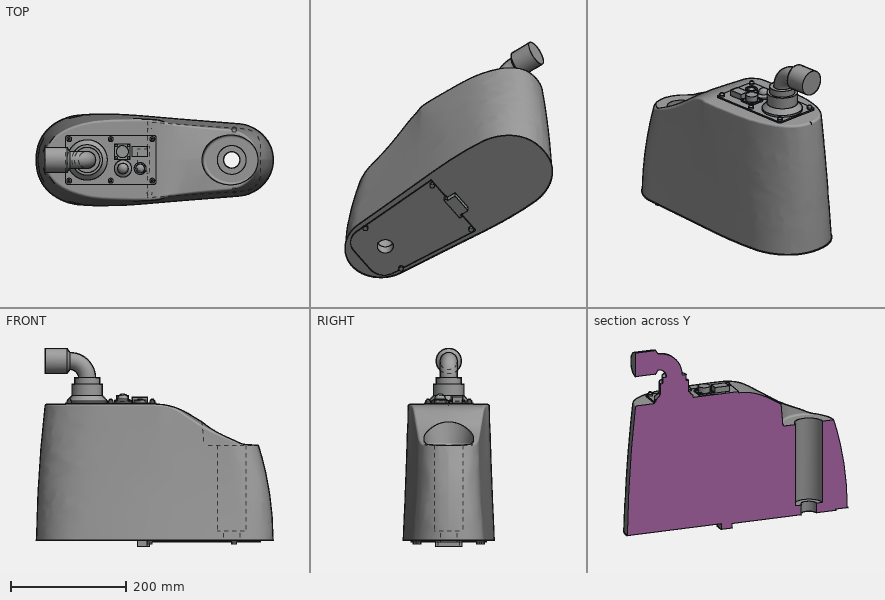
import cadquery as cq
import math


BODY_HEIGHT = 235.2
LIP_RADIUS = 4.0
CAP_STEPS = 6
FLANK_SPAN = 5
SHELL_LEVELS = {
    0.0: (-338.8, -245.0, 78.7, 2.2, 5.0, 63.0, 71.8, 2.3),
    165.0: (-330.6, -210.0, 72.3, 2.25, -13.0, 54.0, 46.0, 2.5),
    BODY_HEIGHT: (-323.5, -185.0, 70.0, 2.35, -50.0, 57.0, 18.0, 2.5),
}

DECK_END_X = -130.5
SADDLE_EDGE = [(-104.0, 231.0), (-74.4, 213.6), (-27.8, 185.9), (9.4, 169.8)]
SADDLE_END = (60.0, 164.6)
SADDLE_CROWN = [0.6, 5.0, 4.0, 1.0]
SADDLE_EDGE_RISE = -1.4
SADDLE_HALF_WIDTH = 85.0
CUT_MARGIN = 90.0

RECESS_FLOOR_Z = 163.8
RECESS_HALF_X = 48.0
RECESS_HALF_Y = 42.3
RECESS_DRAFT = 5.0
RECESS_FILLET = 3.7
BORE_RADIUS = 14.0
COUNTERBORE_RADIUS = 25.0
COUNTERBORE_FLOOR_Z = 15.0

FLANGE_LENGTH = 412.0
FLANGE_NOSE_X = -339.5
FLANGE_OUTLINE = (FLANGE_NOSE_X, -246.0, 79.3, 2.2, 5.0, 63.6, FLANGE_NOSE_X + FLANGE_LENGTH, 2.3)
FLANGE_THICKNESS = 1.4
BOTTOM_PLATE_REAR_X = -146.0
BOTTOM_PLATE_FRONT_X = 50.0
BOTTOM_PLATE_REAR_HALF = 65.5
BOTTOM_PLATE_FRONT_HALF = 52.0
BOTTOM_PLATE_THICKNESS = 2.2
BOTTOM_PLATE_CORNER = 30.0
BOTTOM_PLATE_Z = -FLANGE_THICKNESS - BOTTOM_PLATE_THICKNESS
SOCKET_REAR_X = -163.5
SOCKET_STEP_X = -147.3
SOCKET_FRONT_X = -142.6
SOCKET_HALF_Y = 19.0
SOCKET_RIM_HALF_Y = 23.3
SOCKET_BOTTOM_Z = -11.8
BOLT_RADIUS = 4.3
BOLT_BOTTOM_Z = -7.7
BOLT_PLACES = [(-142.4, 57.3), (4.3, 52.7)]

PANEL_REAR_X = -288.0
PANEL_FRONT_X = -131.2
PANEL_HALF_Y = 42.2
PANEL_CORNER = 3.5
PANEL_TOP_Z = 237.6
SCREW_FIRST_X = -281.8
SCREW_PITCH = 72.0
SCREW_COUNT = 3
SCREW_HALF_Y = 36.0
SCREW_RADIUS = 4.3
SCREW_COLLAR_HEIGHT = 2.9
SCREW_TIP_RADIUS = 1.7
SCREW_HEIGHT = 6.2

GLAND_X = -250.7
GLAND_FOOT_RADIUS = 35.0
GLAND_FOOT_Z = 241.0
GLAND_BODY_RADIUS = 26.5
GLAND_CONE_Z = 249.9
GLAND_BODY_Z = 269.9
GLAND_NECK_RADIUS = 22.0
GLAND_NECK_Z = 281.0
PIPE_RADIUS = 14.9
BEND_RADIUS = 30.0
PIPE_START_Z = 280.1
PLUG_RADIUS = 22.0
PLUG_REAR_X = -323.5
PLUG_SHOULDER_X = -285.6

CONNECTOR_CENTRE = (-189.6, 14.4)
CONNECTOR_SIDE = 26.8
CONNECTOR_BASE_HEIGHT = 2.5
CONNECTOR_RADIUS = 10.5
CONNECTOR_HEIGHT = 12.8
CONNECTOR_SCREW_OFFSET = 10.8
CONNECTOR_SCREW_RADIUS = 2.2
CONNECTOR_SCREW_HEIGHT = 4.5
LAMP_CENTRE = (-188.7, -15.0)
LAMP_BASE_RADIUS = 14.9
LAMP_BASE_HEIGHT = 3.1
LAMP_CONE_HEIGHT = 6.8
LAMP_DOME_RADIUS = 9.3
LAMP_HEIGHT = 15.4
BUTTON_CENTRE = (-158.9, -14.8)
BUTTON_RING_RADIUS = 10.3
BUTTON_RING_HEIGHT = 5.0
BUTTON_RADIUS = 7.6
BUTTON_RECESS_DEPTH = 1.5
BUTTON_HEIGHT = 6.8
BOX_CENTRE = (-159.2, 15.0)
BOX_SIZE = (26.7, 17.4)
BOX_HEIGHT = 10.0


def box(x_range, y_range, z_range):
    """Block between the given limits."""
    size = [high - low for low, high in (x_range, y_range, z_range)]
    corner = (x_range[0], y_range[0], z_range[0])
    return cq.Workplane("XY").box(*size, centered=False).translate(corner)


def cylinder(centre, radius, z_low, z_high):
    """Vertical cylinder."""
    return cq.Workplane("XY", origin=(*centre, z_low)).circle(radius).extrude(z_high - z_low)


def turned(centre, outline):
    """Vertical turned body on the panel; outline is (radius, height) from the axis foot up."""
    profile = cq.Workplane("XZ").polyline([(0, 0)] + outline).close()
    return profile.revolve(360, (0, 0), (0, 1)).translate((*centre, PANEL_TOP_Z))


def mirrored_about_centre(body):
    """The +Y half of a symmetric body joined to its mirror image, with a seam at nose and tip."""
    reach = 2 * FLANGE_LENGTH
    half = body.intersect(box((-reach, reach), (0, reach), (-reach, reach)))
    return half.union(half.mirror("XZ"))


def rounded_outline(level, shape):
    """Smooth closed outline: superelliptic rear cap, flank, elliptic front cap."""
    nose_x, crest_x, crest_half, exponent, tip_centre, tip_half, tip_x, bulge = shape
    half = []
    for step in range(CAP_STEPS + 1):
        angle = 0.5 * math.pi * step / CAP_STEPS
        x = crest_x - (crest_x - nose_x) * math.cos(angle) ** (2 / exponent)
        half.append((x, crest_half * math.sin(angle) ** (2 / exponent)))
    half.append(((crest_x + tip_centre) / 2, (crest_half + tip_half) / 2 + bulge))
    for step in range(CAP_STEPS + 1):
        angle = 0.5 * math.pi * step / CAP_STEPS
        half.append((tip_centre + (tip_x - tip_centre) * math.sin(angle), tip_half * math.cos(angle)))
    mirrored = [(x, -y) for x, y in half[-2:0:-1]]
    points = [cq.Vector(x, y, level) for x, y in half + mirrored]
    side_steps = [1] * CAP_STEPS + [FLANK_SPAN] * 2 + [1] * CAP_STEPS
    spacing = [0]
    for step in side_steps * 2:
        spacing.append(spacing[-1] + step)
    return cq.Wire.assembleEdges([cq.Edge.makeSpline(points, periodic=True, parameters=spacing)])


def saddle_profile(y, rise):
    """Region above the falling top line, as a wire in the plane at the given y."""
    points = [(DECK_END_X, BODY_HEIGHT)]
    points += [(x, z + rise * crown) for (x, z), crown in zip(SADDLE_EDGE, SADDLE_CROWN)]
    points.append(SADDLE_END)
    ceiling = BODY_HEIGHT + CUT_MARGIN
    far_x = SADDLE_END[0] + CUT_MARGIN
    return (
        cq.Workplane("XZ", origin=(0, y, 0))
        .moveTo(*points[0])
        .spline(points[1:], tangents=[(1, 0), (1, 0)], includeCurrent=True)
        .lineTo(far_x, SADDLE_END[1])
        .lineTo(far_x, ceiling)
        .lineTo(DECK_END_X, ceiling)
        .close()
        .wire()
        .val()
    )


def housing():
    """Tapered shell with the crowned saddle cut and a rounded upper lip."""
    outlines = [rounded_outline(level, shape) for level, shape in SHELL_LEVELS.items()]
    shell = cq.Solid.makeLoft(outlines, False)
    profiles = [
        saddle_profile(-SADDLE_HALF_WIDTH, SADDLE_EDGE_RISE),
        saddle_profile(0, 1.0),
        saddle_profile(SADDLE_HALF_WIDTH, SADDLE_EDGE_RISE),
    ]
    cutter = cq.Solid.makeLoft(profiles, False)
    body = cq.Workplane("XY").add(shell).cut(cq.Workplane("XY").add(cutter))
    return mirrored_about_centre(body.newObject(lip_edges(body)).fillet(LIP_RADIUS))


def lip_edges(body):
    """Edges where the side wall meets the deck, the saddle and the front lip."""
    edges = []
    for edge in body.edges().vals():
        bounds = edge.BoundingBox()
        on_top = bounds.zmin > SADDLE_END[1] - 1.0
        if on_top and bounds.xlen > 0.5 and bounds.ylen > 0.5:
            edges.append(edge)
    return edges


def cut_recess_and_bore(body):
    """Drafted elliptical recess with a rounded floor, then the stepped bore."""
    recess = (
        cq.Workplane("XY", origin=(0, 0, RECESS_FLOOR_Z))
        .ellipse(RECESS_HALF_X, RECESS_HALF_Y)
        .extrude(CUT_MARGIN, taper=-RECESS_DRAFT)
        .faces("<Z")
        .edges()
        .fillet(RECESS_FILLET)
    )
    counterbore = cylinder((0, 0), COUNTERBORE_RADIUS, COUNTERBORE_FLOOR_Z, BODY_HEIGHT)
    bore = cylinder((0, 0), BORE_RADIUS, SOCKET_BOTTOM_Z, BODY_HEIGHT)
    return body.cut(counterbore).cut(bore).cut(recess)


def base_flange():
    """Thin plate that stands slightly proud of the shell foot."""
    outline = rounded_outline(0.0, FLANGE_OUTLINE)
    plate = cq.Workplane("XY").add(outline).toPending().extrude(-FLANGE_THICKNESS)
    return mirrored_about_centre(plate)


def bottom_plate():
    """Tapered cover plate under the flange, with its bolt heads and the cable socket."""
    plate = (
        cq.Workplane("XY", origin=(0, 0, BOTTOM_PLATE_Z))
        .moveTo(BOTTOM_PLATE_REAR_X, -BOTTOM_PLATE_REAR_HALF)
        .lineTo(BOTTOM_PLATE_FRONT_X, -BOTTOM_PLATE_FRONT_HALF)
        .lineTo(BOTTOM_PLATE_FRONT_X, BOTTOM_PLATE_FRONT_HALF)
        .lineTo(BOTTOM_PLATE_REAR_X, BOTTOM_PLATE_REAR_HALF)
        .close()
        .extrude(BOTTOM_PLATE_THICKNESS)
        .edges("|Z and >X")
        .fillet(BOTTOM_PLATE_CORNER)
    )
    socket_z = (SOCKET_BOTTOM_Z, -FLANGE_THICKNESS)
    plate = plate.union(
        box((SOCKET_REAR_X, SOCKET_STEP_X), (-SOCKET_HALF_Y, SOCKET_HALF_Y), socket_z)
    )
    plate = plate.union(
        box((SOCKET_STEP_X, SOCKET_FRONT_X), (-SOCKET_RIM_HALF_Y, SOCKET_RIM_HALF_Y), socket_z)
    )
    for x, half_y in BOLT_PLACES:
        for y in (-half_y, half_y):
            plate = plate.union(cylinder((x, y), BOLT_RADIUS, BOLT_BOTTOM_Z, BOTTOM_PLATE_Z))
    return plate


def panel():
    """Round-cornered deck plate with two rows of domed screws."""
    plate = box(
        (PANEL_REAR_X, PANEL_FRONT_X), (-PANEL_HALF_Y, PANEL_HALF_Y), (BODY_HEIGHT, PANEL_TOP_Z)
    )
    plate = plate.edges("|Z").fillet(PANEL_CORNER)
    screw_outline = [
        (SCREW_RADIUS, 0),
        (SCREW_RADIUS, SCREW_COLLAR_HEIGHT),
        (SCREW_TIP_RADIUS, SCREW_HEIGHT),
        (0, SCREW_HEIGHT),
    ]
    for column in range(SCREW_COUNT):
        for y in (-SCREW_HALF_Y, SCREW_HALF_Y):
            plate = plate.union(turned((SCREW_FIRST_X + column * SCREW_PITCH, y), screw_outline))
    return plate


def gland_and_elbow():
    """Stepped gland, quarter-bend pipe and the chamfered plug at the rear."""
    heights = [z - PANEL_TOP_Z for z in (GLAND_FOOT_Z, GLAND_CONE_Z, GLAND_BODY_Z, GLAND_NECK_Z)]
    foot, cone, barrel, neck = heights
    gland = turned(
        (GLAND_X, 0),
        [
            (GLAND_FOOT_RADIUS, 0),
            (GLAND_FOOT_RADIUS, foot),
            (GLAND_BODY_RADIUS, cone),
            (GLAND_BODY_RADIUS, barrel),
            (GLAND_NECK_RADIUS, barrel),
            (GLAND_NECK_RADIUS, neck),
            (0, neck),
        ],
    )
    bend = (
        cq.Workplane("XY", origin=(GLAND_X, 0, PIPE_START_Z))
        .circle(PIPE_RADIUS)
        .revolve(90, (-BEND_RADIUS, 0), (-BEND_RADIUS, -1))
    )
    plug_front_x = GLAND_X - BEND_RADIUS
    plug = (
        cq.Workplane("XZ")
        .polyline(
            [
                (PLUG_REAR_X, 0),
                (PLUG_REAR_X, PLUG_RADIUS),
                (PLUG_SHOULDER_X, PLUG_RADIUS),
                (plug_front_x, PIPE_RADIUS),
                (plug_front_x, 0),
            ]
        )
        .close()
        .revolve(360, (0, 0), (1, 0))
        .translate((0, 0, PIPE_START_Z + BEND_RADIUS))
    )
    return gland.union(bend).union(plug)


def connector():
    """Round connector on a square base with four corner screws."""
    x, y = CONNECTOR_CENTRE
    half = CONNECTOR_SIDE / 2
    base_z = (PANEL_TOP_Z, PANEL_TOP_Z + CONNECTOR_BASE_HEIGHT)
    part = box((x - half, x + half), (y - half, y + half), base_z)
    part = part.union(
        cylinder(CONNECTOR_CENTRE, CONNECTOR_RADIUS, PANEL_TOP_Z, PANEL_TOP_Z + CONNECTOR_HEIGHT)
    )
    for side_x in (-1, 1):
        for side_y in (-1, 1):
            place = (x + side_x * CONNECTOR_SCREW_OFFSET, y + side_y * CONNECTOR_SCREW_OFFSET)
            screw = cylinder(
                place, CONNECTOR_SCREW_RADIUS, PANEL_TOP_Z, PANEL_TOP_Z + CONNECTOR_SCREW_HEIGHT
            )
            part = part.union(screw)
    return part


def domed(centre, outline, dome_radius, dome_base, dome_top):
    """Turned body whose last corner (dome_radius, dome_base) rises in an arc to the axis."""
    rise = dome_top - dome_base
    sphere_radius = (dome_radius**2 + rise**2) / (2 * rise)
    centre_height = dome_top - sphere_radius
    mid_angle = (math.pi / 2 + math.atan2(dome_base - centre_height, dome_radius)) / 2
    mid_point = (
        sphere_radius * math.cos(mid_angle),
        centre_height + sphere_radius * math.sin(mid_angle),
    )
    profile = (
        cq.Workplane("XZ")
        .polyline([(0, 0)] + outline + [(dome_radius, dome_base)])
        .threePointArc(mid_point, (0, dome_top))
        .close()
    )
    return profile.revolve(360, (0, 0), (0, 1)).translate((*centre, PANEL_TOP_Z))


def lamp():
    """Domed lamp on a conical collar."""
    collar = [(LAMP_BASE_RADIUS, 0), (LAMP_BASE_RADIUS, LAMP_BASE_HEIGHT)]
    return domed(LAMP_CENTRE, collar, LAMP_DOME_RADIUS, LAMP_CONE_HEIGHT, LAMP_HEIGHT)


def button():
    """Shallow domed button inside a raised ring."""
    dome_base = BUTTON_RING_HEIGHT - BUTTON_RECESS_DEPTH
    ring = [
        (BUTTON_RING_RADIUS, 0),
        (BUTTON_RING_RADIUS, BUTTON_RING_HEIGHT),
        (BUTTON_RADIUS, BUTTON_RING_HEIGHT),
    ]
    return domed(BUTTON_CENTRE, ring, BUTTON_RADIUS, dome_base, BUTTON_HEIGHT)


def switch_box():
    """Plain rectangular box beside the connector."""
    x, y = BOX_CENTRE
    half_x, half_y = BOX_SIZE[0] / 2, BOX_SIZE[1] / 2
    return box(
        (x - half_x, x + half_x), (y - half_y, y + half_y), (PANEL_TOP_Z, PANEL_TOP_Z + BOX_HEIGHT)
    )


result = housing()
for part in (base_flange(), bottom_plate()):
    result = result.union(part)
result = cut_recess_and_bore(result)
for part in (panel(), gland_and_elbow(), connector(), lamp(), button(), switch_box()):
    result = result.union(part)